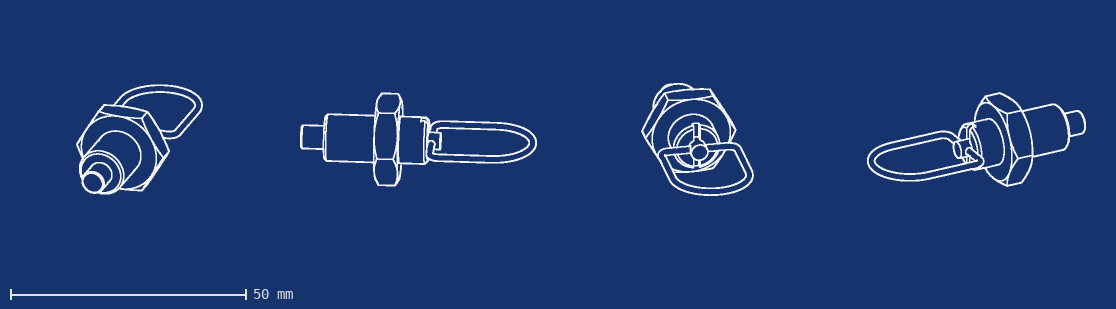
import cadquery as cq
import math

TOTAL_LENGTH = 50.0

HOUSING_START = 5.0
HOUSING_LENGTH = 22.0
HOUSING_RADIUS = 5.0
FRONT_CHAMFER = 0.5
REAR_CHAMFER = 0.6
HOUSING_END = HOUSING_START + HOUSING_LENGTH
SLOT_WIDTH = 1.4
SLOT_DEPTH = 1.5

PIN_RADIUS = 2.5
PIN_CHAMFER = 0.25
POST_RADIUS = 1.8
POST_END = 29.6
PLUNGER_STEP = HOUSING_START + HOUSING_LENGTH / 2

NUT_START = 16.0
NUT_THICKNESS = 5.0
NUT_ACROSS_FLATS = 17.0
NUT_CHAMFER_ANGLE = 30.0

WIRE_RADIUS = 0.75
RING_WIDTH = 18.0
RING_CORNER_RADIUS = 1.85
RING_HALF_WIDTH = RING_WIDTH / 2 - WIRE_RADIUS
RING_BASE = HOUSING_END + WIRE_RADIUS
RING_TOP = TOTAL_LENGTH - WIRE_RADIUS
RING_HOLE_RADIUS = 0.8


def revolve_about_y(profile):
    """Turn a closed profile of (radius, Y) points around the Y axis."""
    return cq.Workplane("XY").polyline(profile).close().revolve(360, (0, 0, 0), (0, 1, 0))


def cylinder_along_y(radius, start, end):
    return revolve_about_y([(0, start), (radius, start), (radius, end), (0, end)])


def make_housing():
    """Chamfered sleeve with a stepped bore and a slot across its rear end."""
    sleeve = revolve_about_y([
        (PIN_RADIUS, HOUSING_START),
        (HOUSING_RADIUS - FRONT_CHAMFER, HOUSING_START),
        (HOUSING_RADIUS, HOUSING_START + FRONT_CHAMFER),
        (HOUSING_RADIUS, HOUSING_END - REAR_CHAMFER),
        (HOUSING_RADIUS - REAR_CHAMFER, HOUSING_END),
        (POST_RADIUS, HOUSING_END),
        (POST_RADIUS, PLUNGER_STEP),
        (PIN_RADIUS, PLUNGER_STEP),
    ])
    slot = cq.Workplane("XY").box(SLOT_WIDTH, SLOT_DEPTH, 2 * HOUSING_RADIUS)
    return sleeve.cut(slot.translate((0, HOUSING_END - SLOT_DEPTH / 2, 0)))


def make_plunger():
    """Stepped rod with a chamfered tip and a cross hole for the pull ring."""
    rod = revolve_about_y([
        (0, 0),
        (PIN_RADIUS - PIN_CHAMFER, 0),
        (PIN_RADIUS, PIN_CHAMFER),
        (PIN_RADIUS, PLUNGER_STEP),
        (POST_RADIUS, PLUNGER_STEP),
        (POST_RADIUS, POST_END),
        (0, POST_END),
    ])
    ring_hole = (
        cq.Workplane("YZ").center(RING_BASE, 0).circle(RING_HOLE_RADIUS).extrude(POST_RADIUS, both=True)
    )
    return rod.cut(ring_hole)


def make_nut():
    """Hexagonal nut with flats facing +Z and -Z and its corners chamfered at both ends."""
    flat_radius = NUT_ACROSS_FLATS / 2
    corner_radius = flat_radius / math.cos(math.pi / 6)
    corner_drop = (corner_radius - flat_radius) * math.tan(math.radians(NUT_CHAMFER_ANGLE))
    nut_end = NUT_START + NUT_THICKNESS
    hexagon = (
        cq.Workplane("XZ", origin=(0, nut_end, 0)).polygon(6, 2 * corner_radius).extrude(NUT_THICKNESS)
    )
    corner_envelope = revolve_about_y([
        (0, NUT_START),
        (flat_radius, NUT_START),
        (corner_radius, NUT_START + corner_drop),
        (corner_radius, nut_end - corner_drop),
        (flat_radius, nut_end),
        (0, nut_end),
    ])
    return hexagon.intersect(corner_envelope).cut(cylinder_along_y(HOUSING_RADIUS, NUT_START, nut_end))


def make_pull_ring():
    """Closed wire loop: straight base, two rounded corners, straight sides and a half-round top."""
    corner_end = RING_BASE + RING_CORNER_RADIUS
    base_end = RING_HALF_WIDTH - RING_CORNER_RADIUS
    arch_start = RING_TOP - RING_HALF_WIDTH
    path = (
        cq.Workplane("XY")
        .moveTo(0, RING_BASE)
        .lineTo(base_end, RING_BASE)
        .radiusArc((RING_HALF_WIDTH, corner_end), -RING_CORNER_RADIUS)
        .lineTo(RING_HALF_WIDTH, arch_start)
        .threePointArc((0, RING_TOP), (-RING_HALF_WIDTH, arch_start))
        .lineTo(-RING_HALF_WIDTH, corner_end)
        .radiusArc((-base_end, RING_BASE), -RING_CORNER_RADIUS)
        .close()
    )
    return cq.Workplane("YZ").center(RING_BASE, 0).circle(WIRE_RADIUS).sweep(path)


housing = make_housing()
plunger = make_plunger()
nut = make_nut()
pull_ring = make_pull_ring()

result = cq.Compound.makeCompound([housing.val(), plunger.val(), nut.val(), pull_ring.val()])